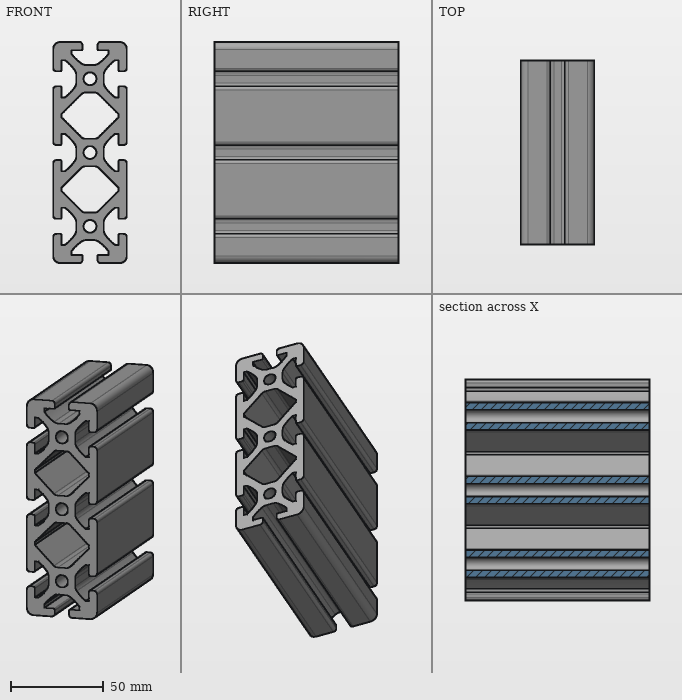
import cadquery as cq
import math


height = 120.0
cell_count = 3
cell = height / cell_count
length = 100.0
corner_radius = 4.0

slot_opening = 8.0
slot_depth = 12.5
cavity_width = 20.0
cavity_wall = 1.9
floor_width = 4.1
flank_foot_width = 9.4
flank_foot_rise = 0.8
lip_thickness = 4.5
lip_outer_radius = 1.8
lip_inner_radius = 0.7

bore_diameter = 6.8
chamber_side_flat = 1.7
chamber_end_radius = 3.0

face = cell / 2
cell_centres = [(i - (cell_count - 1) / 2) * cell for i in range(cell_count)]
joint_centres = [(a + b) / 2 for a, b in zip(cell_centres, cell_centres[1:])]


def extrude_profile(outline):
    return outline.extrude(length / 2, both=True)


def profile_plane():
    return cq.Workplane("XZ")


def quarter_arc_middle(centre, radius, x_sign, z_sign):
    """Middle point of a quarter circle lying in the given quadrant."""
    offset = radius * math.sqrt(0.5)
    return (centre[0] + x_sign * offset, centre[1] + z_sign * offset)


def make_blank():
    blank = cq.Workplane("XY").box(cell, length, height)
    return blank.edges("|Y").fillet(corner_radius)


def make_slot_cutter():
    """Slot of a cell centred on the origin, opening towards +Z."""
    mouth = slot_opening / 2
    lip_back = face - lip_thickness
    floor = face - slot_depth
    outer_centre = (mouth + lip_outer_radius, face - lip_outer_radius)
    inner_centre = (mouth + lip_inner_radius, lip_back + lip_inner_radius)

    half = (
        profile_plane()
        .moveTo(0, floor)
        .lineTo(floor_width / 2, floor)
        .tangentArcPoint((flank_foot_width / 2, floor + flank_foot_rise), relative=False)
        .tangentArcPoint((cavity_width / 2, lip_back - cavity_wall), relative=False)
        .lineTo(cavity_width / 2, lip_back)
        .lineTo(inner_centre[0], lip_back)
        .threePointArc(
            quarter_arc_middle(inner_centre, lip_inner_radius, -1, -1),
            (mouth, inner_centre[1]),
        )
        .lineTo(mouth, outer_centre[1])
        .threePointArc(
            quarter_arc_middle(outer_centre, lip_outer_radius, -1, 1),
            (outer_centre[0], face),
        )
        .lineTo(0, face)
        .close()
    )
    half_slot = extrude_profile(half)
    return half_slot.union(half_slot.mirror("YZ"))


def make_chamber_cutter():
    """Hollow between two cells: an octagon with 45 degree sides and rounded end corners."""
    x_side = face - lip_thickness
    z_end = slot_depth
    z_side = chamber_side_flat / 2
    x_end = x_side + z_side - z_end
    corners = [
        (x_side, z_side), (x_end, z_end), (-x_end, z_end), (-x_side, z_side),
        (-x_side, -z_side), (-x_end, -z_end), (x_end, -z_end), (x_side, -z_side),
    ]
    chamber = extrude_profile(profile_plane().polyline(corners).close())
    for end_face in (">Z", "<Z"):
        chamber = chamber.faces(end_face).edges("|Y").fillet(chamber_end_radius)
    return chamber


def make_bore_cutter():
    return extrude_profile(profile_plane().circle(bore_diameter / 2))


def turn(solid, angle):
    return solid.rotate((0, 0, 0), (0, 1, 0), angle)


def raise_to(solid, z):
    return solid.translate((0, 0, z))


slot = make_slot_cutter()
bore = make_bore_cutter()
chamber = make_chamber_cutter()

result = make_blank()

for z in cell_centres:
    result = result.cut(raise_to(bore, z))
    for side_angle in (90, -90):
        result = result.cut(raise_to(turn(slot, side_angle), z))

result = result.cut(raise_to(slot, cell_centres[-1]))
result = result.cut(raise_to(turn(slot, 180), cell_centres[0]))

for z in joint_centres:
    result = result.cut(raise_to(chamber, z))